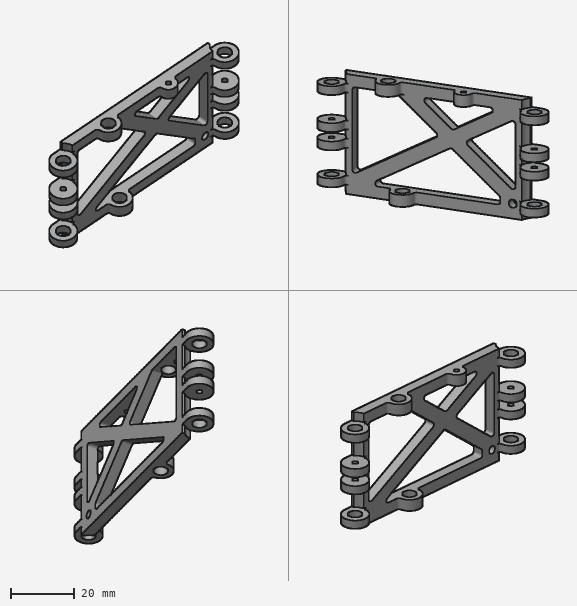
import cadquery as cq
import math

LENGTH = 80.5
PLATE_LENGTH = 65.2
HEIGHT = 40.0
PLATE_THICKNESS = 3.9
RAIL_WIDTH = 4.0
POST_WIDTH = 3.9
STRUT_WIDTH = 5.0
WINDOW_FILLET = 1.0
ROOT_FILLET = 1.0

KNUCKLE_RADIUS = 4.5
KNUCKLE_THICKNESS = 3.0
INNER_KNUCKLE_Z = 3.05
OUTER_KNUCKLE_Z = 15.4
KNUCKLE_CLEARANCE = 0.25
PIN_HOLE_RADIUS = 1.0
BUSH_HOLE_RADIUS = 2.3

SMALL_LUG_RADIUS = 3.05
SMALL_LUG_HOLE_RADIUS = 0.9
LARGE_LUG_RADIUS = 4.2
LUG_OFFSET_Y = 10.8
UPPER_LARGE_LUG_Y = -15.8

PAD_HOLE_Y = 27.8
PAD_HOLE_Z = -15.0
PAD_HOLE_RADIUS = 1.4
PAD_INNER_Y = 23.35
PAD_HEIGHT_ABOVE_HOLE = 2.4

AXIS_X = KNUCKLE_RADIUS
AXIS_Y = LENGTH / 2 - KNUCKLE_RADIUS
TOP_Z = HEIGHT / 2


def block(x_range, y_range, z_range):
    """Axis-aligned box between the given limits."""
    size = [high - low for low, high in (x_range, y_range, z_range)]
    corner = (x_range[0], y_range[0], z_range[0])
    return cq.Workplane("XY").box(*size, centered=False).translate(corner)


def cylinder(y, z_bottom, radius, height):
    """Vertical cylinder on the common x position of all knuckle and lug axes."""
    return cq.Workplane("XY", origin=(AXIS_X, y, z_bottom)).circle(radius).extrude(height)


def strut(start, end):
    """Diagonal bar through the plate thickness, centred on the line between two (y, z) points."""
    dy = end[0] - start[0]
    dz = end[1] - start[1]
    return (
        cq.Workplane("YZ")
        .rect(2 * math.hypot(dy, dz), STRUT_WIDTH)
        .extrude(PLATE_THICKNESS)
        .rotate((0, 0, 0), (1, 0, 0), math.degrees(math.atan2(dz, dy)))
        .translate((0, start[0], start[1]))
    )


def root_web(y, radius, side, z_bottom, height):
    """Concave fillet between a boss and the plate back, on the +Y (side=1) or -Y (side=-1) flank."""
    fillet_x = PLATE_THICKNESS + ROOT_FILLET
    axis_gap = fillet_x - AXIS_X
    reach = math.sqrt((radius + ROOT_FILLET) ** 2 - axis_gap ** 2)
    fillet_y = y + side * reach
    share = radius / (radius + ROOT_FILLET)
    tangent = (AXIS_X + axis_gap * share, y + side * reach * share)
    tangent_angle = math.atan2(tangent[1] - fillet_y, tangent[0] - fillet_x)
    middle_angle = (tangent_angle - side * math.pi) / 2
    middle = (
        fillet_x + ROOT_FILLET * math.cos(middle_angle),
        fillet_y + ROOT_FILLET * math.sin(middle_angle),
    )
    return (
        cq.Workplane("XY", origin=(0, 0, z_bottom))
        .moveTo(PLATE_THICKNESS, fillet_y)
        .threePointArc(middle, tangent)
        .lineTo(AXIS_X, y)
        .lineTo(PLATE_THICKNESS, y)
        .close()
        .extrude(height)
    )


def windows():
    """Openings left between the frame and the two crossing struts."""
    through = (0, PLATE_THICKNESS)
    inner_y = PLATE_LENGTH / 2 - POST_WIDTH
    inner_z = TOP_Z - RAIL_WIDTH
    opening = block(through, (-inner_y, inner_y), (-inner_z, inner_z))
    pad = block(through, (PAD_INNER_Y, inner_y), (-inner_z, PAD_HOLE_Z + PAD_HEIGHT_ABOVE_HOLE))
    long_strut = strut((0, 0), (AXIS_Y, TOP_Z))
    short_strut = strut((LUG_OFFSET_Y, 0), (AXIS_Y, -TOP_Z))
    opening = opening.cut(long_strut).cut(short_strut).cut(pad)
    return opening.edges("|X").fillet(WINDOW_FILLET)


def plate():
    """Trussed plate with its ends hollowed to clear the mating knuckles."""
    half_length = PLATE_LENGTH / 2
    body = block((0, PLATE_THICKNESS), (-half_length, half_length), (-TOP_Z, TOP_Z))
    body = body.cut(windows())
    clearance_radius = KNUCKLE_RADIUS + KNUCKLE_CLEARANCE
    for side in (-1, 1):
        body = body.cut(cylinder(side * AXIS_Y, -TOP_Z, clearance_radius, HEIGHT))
    pad_hole = (
        cq.Workplane("YZ")
        .center(PAD_HOLE_Y, PAD_HOLE_Z)
        .circle(PAD_HOLE_RADIUS)
        .extrude(PLATE_THICKNESS)
    )
    return body.cut(pad_hole)


def knuckle(side, z_center, hole_radius):
    """Hinge eye whose outer face runs flush into the plate."""
    y = side * AXIS_Y
    z_bottom = z_center - KNUCKLE_THICKNESS / 2
    root_y = side * (AXIS_Y - KNUCKLE_RADIUS - ROOT_FILLET)
    bridge = block(
        (0, PLATE_THICKNESS),
        sorted((y, root_y)),
        (z_bottom, z_bottom + KNUCKLE_THICKNESS),
    )
    eye = cylinder(y, z_bottom, KNUCKLE_RADIUS, KNUCKLE_THICKNESS).union(bridge)
    eye = eye.union(root_web(y, KNUCKLE_RADIUS, -side, z_bottom, KNUCKLE_THICKNESS))
    return eye.cut(cylinder(y, z_bottom, hole_radius, KNUCKLE_THICKNESS))


def add_lug(body, y, z_bottom, radius, hole_radius):
    """Add a lug as thick as its rail, blended into the plate back, and drill through both."""
    lug = cylinder(y, z_bottom, radius, RAIL_WIDTH)
    plate_back = (PLATE_THICKNESS, AXIS_X + radius)
    rail_z = (z_bottom, z_bottom + RAIL_WIDTH)
    lug = lug.intersect(block(plate_back, (y - radius, y + radius), rail_z))
    for side in (-1, 1):
        lug = lug.union(root_web(y, radius, side, z_bottom, RAIL_WIDTH))
    return body.union(lug).cut(cylinder(y, z_bottom, hole_radius, RAIL_WIDTH))


result = plate()
for end in (-1, 1):
    for level in (-1, 1):
        result = result.union(knuckle(end, level * INNER_KNUCKLE_Z, PIN_HOLE_RADIUS))
        result = result.union(knuckle(end, level * OUTER_KNUCKLE_Z, BUSH_HOLE_RADIUS))

upper_rail_z = TOP_Z - RAIL_WIDTH
result = add_lug(result, LUG_OFFSET_Y, upper_rail_z, SMALL_LUG_RADIUS, SMALL_LUG_HOLE_RADIUS)
result = add_lug(result, UPPER_LARGE_LUG_Y, upper_rail_z, LARGE_LUG_RADIUS, BUSH_HOLE_RADIUS)
result = add_lug(result, -LUG_OFFSET_Y, -TOP_Z, LARGE_LUG_RADIUS, BUSH_HOLE_RADIUS)